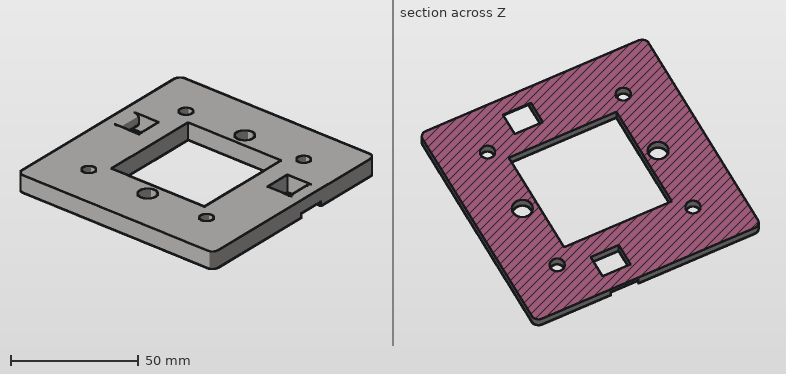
import cadquery as cq

side = 100
thickness = 8
corner_radius = 3

center_opening = 47.4
hole_spacing = 60
small_hole_diameter = 5.8
large_hole_diameter = 8

window_size = 12.2
window_center_y = 10.4
window_margin = 5
bar_rounding = 2.2
channel_height = 2


def make_plate():
    plate = cq.Workplane("XY").box(side, side, thickness, centered=(True, True, False))
    return plate.edges("|Z").fillet(corner_radius)


def make_hole_cutters():
    half = hole_spacing / 2
    small = (
        cq.Workplane("XY")
        .rect(hole_spacing, hole_spacing, forConstruction=True)
        .vertices()
        .circle(small_hole_diameter / 2)
        .extrude(thickness)
    )
    large = (
        cq.Workplane("XY")
        .pushPoints([(0, half), (0, -half)])
        .circle(large_hole_diameter / 2)
        .extrude(thickness)
    )
    return small.union(large)


def make_strap_cutter():
    """Window and channel on the +X side; the bar above the channel has its two inner edges rounded."""
    outer_face = side / 2
    window_outer = outer_face - window_margin
    window_inner = window_outer - window_size
    bar_face = window_outer - bar_rounding
    return (
        cq.Workplane("XZ", origin=(0, window_center_y, 0))
        .moveTo(window_inner, 0)
        .lineTo(outer_face, 0)
        .lineTo(outer_face, channel_height)
        .lineTo(window_outer, channel_height)
        .radiusArc((bar_face, channel_height + bar_rounding), bar_rounding)
        .lineTo(bar_face, thickness - bar_rounding)
        .radiusArc((window_outer, thickness), bar_rounding)
        .lineTo(window_inner, thickness)
        .close()
        .extrude(window_size / 2, both=True)
    )


center_cutter = cq.Workplane("XY").rect(center_opening, center_opening).extrude(thickness)
strap_cutter = make_strap_cutter()

result = (
    make_plate()
    .cut(center_cutter)
    .cut(make_hole_cutters())
    .cut(strap_cutter)
    .cut(strap_cutter.mirror("YZ"))
)